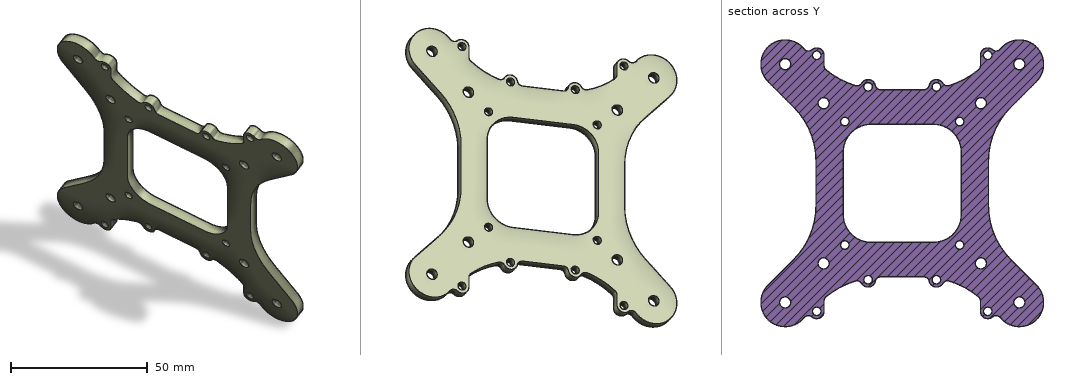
import cadquery as cq
import math

width = 103.5
height = 105.0
thickness = 4.0

pad_radius = 8.9
pad_center = (width / 2 - pad_radius, height / 2 - pad_radius)

ear_radius = 2.7
outer_ear = (31.3, 46.8)
inner_ear = (12.5, 35.3)
blend_radius = 2.0

frame_half_width = 31.6
frame_half_height = 34.2
window_side = 43.0
window_corner_radius = 10.0
arm_fillet_radius = 27.8

valley_height = 35.7
valley_exit_angle = 17.0
slope_radius = 31.5

small_hole_diameter = 3.0
large_hole_diameter = 4.0
frame_hole = (21.0, 22.6)
arm_hole = (28.8, 29.3)


def polar(center, radius, angle):
    """Point on a circle, with the angle in degrees."""
    a = math.radians(angle)
    return (center[0] + radius * math.cos(a), center[1] + radius * math.sin(a))


def toward(start, end, distance):
    """Point at a given distance from start on the way to end."""
    fraction = distance / math.dist(start, end)
    return tuple(s + fraction * (e - s) for s, e in zip(start, end))


def blend_beside(circle, side, center_height):
    """Centre of a blend at a given height, touching an ear on its left (-1) or right (+1)."""
    rise = center_height - circle[1]
    run = math.sqrt((ear_radius + blend_radius) ** 2 - rise**2)
    return (circle[0] + side * run, center_height)


def blend_above(left, left_radius, right, right_radius):
    """Centre of a blend resting in the upper notch between two circles."""
    gap = math.dist(left, right)
    left_reach = left_radius + blend_radius
    right_reach = right_radius + blend_radius
    along = (gap**2 + left_reach**2 - right_reach**2) / (2 * gap)
    across = math.sqrt(left_reach**2 - along**2)
    dx = (right[0] - left[0]) / gap
    dz = (right[1] - left[1]) / gap
    return (left[0] + along * dx - across * dz, left[1] + along * dz + across * dx)


def make_quadrant():
    """Quarter of the plate with +X and +Z, bounded by both symmetry planes."""
    frame_blend = blend_beside(inner_ear, -1, frame_half_height + blend_radius)
    valley_blend = blend_beside(inner_ear, 1, valley_height + blend_radius)
    notch_blend = blend_above(outer_ear, ear_radius, pad_center, pad_radius)

    slope_base = polar(valley_blend, blend_radius, valley_exit_angle - 90)
    slope_center = polar(slope_base, slope_radius, valley_exit_angle + 90)
    ear_side = outer_ear[0] - ear_radius
    corner_x = ear_side - blend_radius
    corner_drop = math.sqrt((slope_radius - blend_radius) ** 2 - (corner_x - slope_center[0]) ** 2)
    corner_center = (corner_x, slope_center[1] - corner_drop)
    slope_top = toward(slope_center, corner_center, slope_radius)

    pad_tangent = polar(pad_center, pad_radius, -45)
    arm_corner_z = pad_tangent[1] - (pad_tangent[0] - frame_half_width)
    arm_corner = (frame_half_width, arm_corner_z)
    fillet_length = arm_fillet_radius * math.tan(math.radians(45 / 2))
    fillet_top = polar(arm_corner, fillet_length, 45)
    fillet_bottom = (frame_half_width, arm_corner_z - fillet_length)
    fillet_center = (frame_half_width + arm_fillet_radius, fillet_bottom[1])
    fillet_middle = polar(fillet_center, arm_fillet_radius, 180 - 45 / 2)

    return (
        cq.Workplane("XZ")
        .lineTo(0, frame_half_height)
        .lineTo(frame_blend[0], frame_half_height)
        .tangentArcPoint(toward(frame_blend, inner_ear, blend_radius), relative=False)
        .threePointArc(polar(inner_ear, ear_radius, 90), toward(inner_ear, valley_blend, ear_radius))
        .tangentArcPoint(slope_base, relative=False)
        .tangentArcPoint(slope_top, relative=False)
        .tangentArcPoint((ear_side, corner_center[1]), relative=False)
        .lineTo(ear_side, outer_ear[1])
        .tangentArcPoint(toward(outer_ear, notch_blend, ear_radius), relative=False)
        .tangentArcPoint(toward(pad_center, notch_blend, pad_radius), relative=False)
        .threePointArc(polar(pad_center, pad_radius, 45), pad_tangent)
        .lineTo(*fillet_top)
        .threePointArc(fillet_middle, fillet_bottom)
        .lineTo(frame_half_width, 0)
        .close()
        .extrude(thickness / 2, both=True)
    )


def drill(body, points, diameter):
    """Cut through holes parallel to Y."""
    pins = cq.Workplane("XZ").pushPoints(points).circle(diameter / 2).extrude(thickness, both=True)
    return body.cut(pins)


quadrant = make_quadrant()
quadrant = drill(quadrant, [outer_ear, inner_ear, frame_hole], small_hole_diameter)
quadrant = drill(quadrant, [pad_center, arm_hole], large_hole_diameter)
half = quadrant.union(quadrant.mirror("YZ"))
plate = half.union(half.mirror("XY")).clean()

window = (
    cq.Workplane("XZ")
    .rect(window_side, window_side)
    .extrude(thickness, both=True)
    .edges("|Y")
    .fillet(window_corner_radius)
)
result = plate.cut(window)